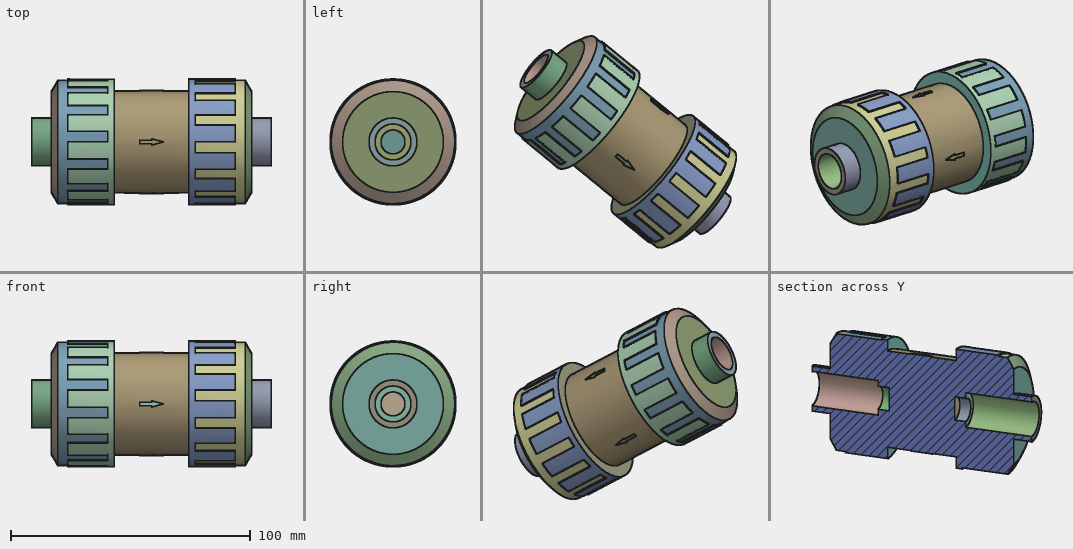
import cadquery as cq
import math

total_length = 100.0
nut_outer_end = 41.8
nut_chamfer_start = 39.0
rib_outer_end = 34.8
pocket_inner_end = 18.2
nut_inner_end = 15.5

nut_diameter = 52.5
rib_height = 0.5

pipe_radius = 10.0
bore_radius = 7.5
seat_radius = 5.0
nut_face_radius = 21.0
nut_rib_radius = nut_diameter / 2
nut_base_radius = nut_rib_radius - rib_height
body_radius = 21.3

bore_depth = 30.0
seat_depth = 5.0

pocket_count = 14
pocket_angle = 10.0

arrow_count = 4
arrow_length = 10.0
arrow_height = 0.2
shaft_width = 1.5
head_width = 2.7


def cylinder(radius, start, end):
    """Cylinder on the X axis between two X positions."""
    return cq.Workplane("YZ").workplane(offset=start).circle(radius).extrude(end - start)


def make_grip_pockets():
    """Wedge cutters around the +X nut; the first starts at the top and leans to -Y."""
    reach = 2 * nut_rib_radius
    sweep = math.radians(pocket_angle)
    pocket = (
        cq.Workplane("YZ")
        .workplane(offset=pocket_inner_end)
        .polyline([
            (0, 0),
            (0, reach),
            (-reach * math.sin(sweep), reach * math.cos(sweep)),
        ])
        .close()
        .extrude(rib_outer_end - pocket_inner_end)
    )
    return [
        pocket.rotate((0, 0, 0), (1, 0, 0), index * 360 / pocket_count)
        for index in range(pocket_count)
    ]


def make_nut():
    """Ribbed union nut on the +X side, with a conical outer edge."""
    core = (
        cq.Workplane("XY")
        .moveTo(nut_inner_end, 0)
        .lineTo(nut_inner_end, nut_base_radius)
        .lineTo(nut_chamfer_start, nut_base_radius)
        .lineTo(nut_outer_end, nut_face_radius)
        .lineTo(nut_outer_end, 0)
        .close()
        .revolve(360, (0, 0, 0), (1, 0, 0))
    )
    rib_ring = cylinder(nut_rib_radius, nut_inner_end, rib_outer_end)
    rib_ring = rib_ring.cut(cylinder(nut_base_radius, nut_inner_end, rib_outer_end))
    for pocket in make_grip_pockets():
        rib_ring = rib_ring.cut(pocket)
    return core.union(rib_ring)


def make_passage():
    """Wide bore from the +X end, stepping down to a narrower blind seat."""
    end = total_length / 2
    bore_floor = end - bore_depth
    bore = cylinder(bore_radius, bore_floor, end)
    return bore.union(cylinder(seat_radius, bore_floor - seat_depth, bore_floor))


def make_arrow():
    """Arrow on top of the body, pointing to +X and slightly sunk in so that it fuses."""
    arrow_radius = body_radius + arrow_height
    tail = -arrow_length / 2
    tip = arrow_length / 2
    prism = (
        cq.Workplane("XY")
        .polyline([
            (tail, -shaft_width / 2),
            (0, -shaft_width / 2),
            (0, -head_width / 2),
            (tip, 0),
            (0, head_width / 2),
            (0, shaft_width / 2),
            (tail, shaft_width / 2),
        ])
        .close()
        .extrude(arrow_radius)
    )
    ring = cylinder(arrow_radius, tail, tip).cut(cylinder(body_radius - arrow_height, tail, tip))
    return prism.intersect(ring)


def turn_end_for_end(shape):
    """Copy of a +X feature placed on the -X side."""
    return shape.rotate((0, 0, 0), (0, 0, 1), 180)


body = cylinder(body_radius, -nut_inner_end, nut_inner_end)
pipe = cylinder(pipe_radius, -total_length / 2, total_length / 2)
nut = make_nut()
passage = make_passage()
arrow = make_arrow()

result = body.union(pipe).union(nut).union(turn_end_for_end(nut))
result = result.cut(passage).cut(turn_end_for_end(passage))
for index in range(arrow_count):
    result = result.union(arrow.rotate((0, 0, 0), (1, 0, 0), index * 360 / arrow_count))